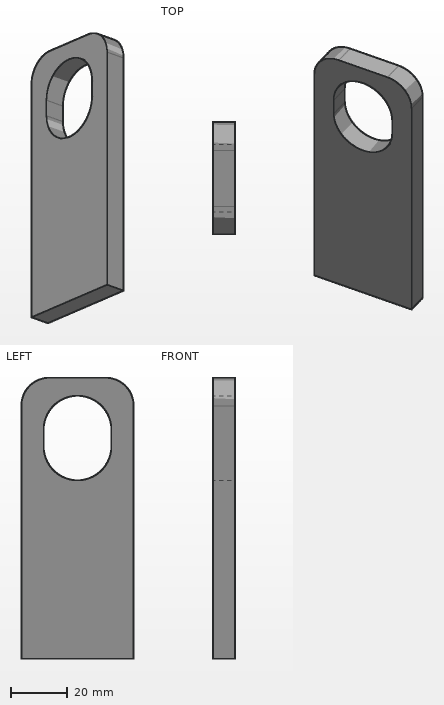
import cadquery as cq

thickness = 8.0
width = 40.0
height = 100.0
corner_radius = 10.0

slot_width = 24.0
slot_height = 30.0
slot_top_margin = 6.5
slot_center_z = height - slot_top_margin - slot_height / 2


def make_plate():
    """Upright plate standing on Z = 0, with its two top corners rounded."""
    plate = cq.Workplane("XY").box(thickness, width, height, centered=(True, True, False))
    return plate.edges("|X and >Z").fillet(corner_radius)


def make_slot():
    """Cutter for the round-ended slot, its long axis along Z."""
    return (
        cq.Workplane("YZ")
        .center(0, slot_center_z)
        .slot2D(slot_height, slot_width, angle=90)
        .extrude(thickness / 2, both=True)
    )


result = make_plate().cut(make_slot())